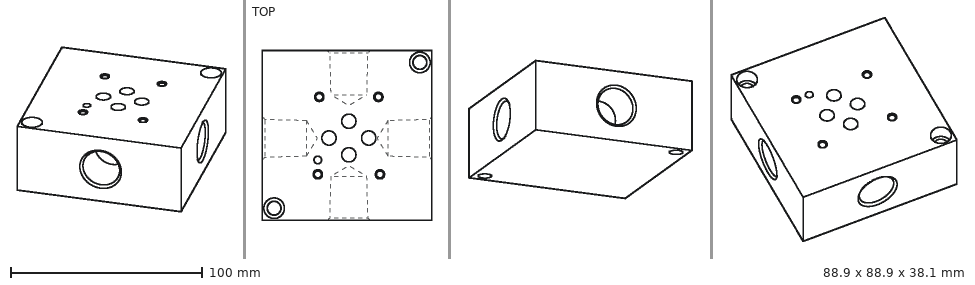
import cadquery as cq
import math

SIDE = 88.9
HEIGHT = 38.1
TOP = HEIGHT / 2

MOUNT_INSET = 6.3
MOUNT_DIAMETER = 7.1
COUNTERBORE_DIAMETER = 10.8
COUNTERBORE_DEPTH = 8.0

VALVE_X = 1.0
VALVE_Y = -1.4
VALVE_PORT_DIAMETER = 7.5
VALVE_PORT_DEPTH = 16.0
VALVE_PORT_REACH_X = 10.4
VALVE_PORT_REACH_Y = 8.8

BOLT_DRILL_DIAMETER = 3.65
BOLT_MOUTH_DIAMETER = 4.8
BOLT_DEPTH = 11.6
BACK_BOLT_HALF_SPACING = 15.5
BACK_BOLT_REACH = 21.5
FRONT_BOLT_HALF_SPACING = 16.3
FRONT_BOLT_REACH = 19.0

PIN_DIAMETER = 4.0
PIN_DEPTH = 5.3
PIN_REACH = 11.5

PORT_X = 0.8
PORT_Y = VALVE_Y
PORT_MOUTH_DIAMETER = 22.6
PORT_THREAD_DIAMETER = 19.9
PORT_END_DIAMETER = 18.8
PORT_DEPTH = 23.1
PORT_CHAMFER_DEPTH = (PORT_MOUTH_DIAMETER - PORT_THREAD_DIAMETER) / 2

DRILL_POINT_ANGLE = 118.0


def drill_point(diameter):
    """Length of the conical end left by a drill of this diameter."""
    return diameter / 2 / math.tan(math.radians(DRILL_POINT_ANGLE / 2))


def drilled_hole(mouth_diameter, chamfer_depth, bore_diameter, end_diameter, depth):
    """Chamfered blind hole along -Z, with its mouth at the origin and a conical end."""
    return (
        cq.Workplane("XZ")
        .moveTo(0, 0)
        .lineTo(mouth_diameter / 2, 0)
        .lineTo(bore_diameter / 2, -chamfer_depth)
        .lineTo(end_diameter / 2, -depth)
        .lineTo(0, -depth - drill_point(end_diameter))
        .close()
        .revolve(360, (0, 0, 0), (0, 1, 0))
    )


def flat_holes(points, diameter, depth):
    """Flat-bottomed holes sunk from the top face at the given XY points."""
    return (
        cq.Workplane("XY", origin=(0, 0, TOP))
        .pushPoints(points)
        .circle(diameter / 2)
        .extrude(-depth)
    )


block = cq.Workplane("XY").box(SIDE, SIDE, HEIGHT)

mount_offset = SIDE / 2 - MOUNT_INSET
mount_points = [(mount_offset, mount_offset), (-mount_offset, -mount_offset)]
block = block.cut(flat_holes(mount_points, MOUNT_DIAMETER, HEIGHT))
block = block.cut(flat_holes(mount_points, COUNTERBORE_DIAMETER, COUNTERBORE_DEPTH))

valve_port_points = [
    (VALVE_X - VALVE_PORT_REACH_X, VALVE_Y),
    (VALVE_X + VALVE_PORT_REACH_X, VALVE_Y),
    (VALVE_X, VALVE_Y - VALVE_PORT_REACH_Y),
    (VALVE_X, VALVE_Y + VALVE_PORT_REACH_Y),
]
block = block.cut(flat_holes(valve_port_points, VALVE_PORT_DIAMETER, VALVE_PORT_DEPTH))

pin_point = (VALVE_X - FRONT_BOLT_HALF_SPACING, VALVE_Y - PIN_REACH)
block = block.cut(flat_holes([pin_point], PIN_DIAMETER, PIN_DEPTH))

bolt_hole = drilled_hole(
    BOLT_MOUTH_DIAMETER,
    (BOLT_MOUTH_DIAMETER - BOLT_DRILL_DIAMETER) / 2,
    BOLT_DRILL_DIAMETER,
    BOLT_DRILL_DIAMETER,
    BOLT_DEPTH,
)
for side in (-1, 1):
    back_x = VALVE_X + side * BACK_BOLT_HALF_SPACING
    front_x = VALVE_X + side * FRONT_BOLT_HALF_SPACING
    block = block.cut(bolt_hole.translate((back_x, VALVE_Y + BACK_BOLT_REACH, TOP)))
    block = block.cut(bolt_hole.translate((front_x, VALVE_Y - FRONT_BOLT_REACH, TOP)))

side_port = drilled_hole(
    PORT_MOUTH_DIAMETER,
    PORT_CHAMFER_DEPTH,
    PORT_THREAD_DIAMETER,
    PORT_END_DIAMETER,
    PORT_DEPTH,
)
for side in (-1, 1):
    y_port = side_port.rotate((0, 0, 0), (1, 0, 0), -90 * side)
    x_port = side_port.rotate((0, 0, 0), (0, 1, 0), 90 * side)
    block = block.cut(y_port.translate((PORT_X, side * SIDE / 2, 0)))
    block = block.cut(x_port.translate((side * SIDE / 2, PORT_Y, 0)))

result = block